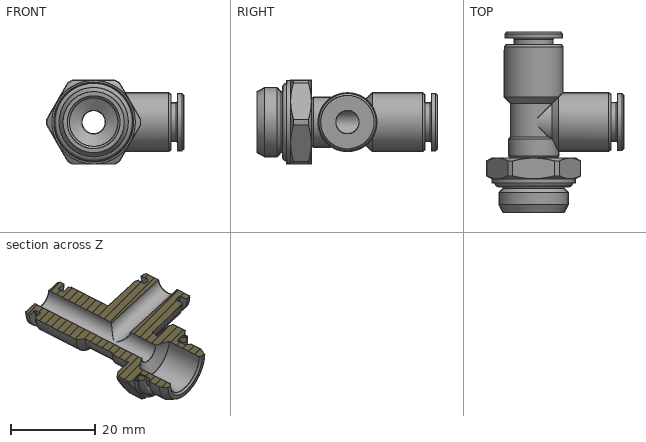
import cadquery as cq
import math


passage_radius = 2.75
bore_radius = 5.75
bore_mouth_radius = 6.28
bore_mouth_depth = bore_mouth_radius - bore_radius
bore_end_y = -12.05
bore_cone_length = 1.7

arm_length = 21.45
waist_radius = 5.55
waist_end = 4.4
socket_radius = 7.0
socket_start = 5.95
socket_end = 18.45
socket_chamfer_radial = 0.45
socket_chamfer_axial = 0.6
sleeve_radius = 4.65
sleeve_root_radius = 4.8
sleeve_root_length = 0.3
rim_radius = 6.85
rim_thickness = 1.5
rim_chamfer = 0.47

collar_radius = 5.98
collar_start_y = -3.6
collar_chamfer = 0.45

hex_sides = 6
hex_across_flats = 20.0
hex_corner_radius = 11.2
hex_top_y = -8.55
hex_bottom_y = -13.55
hex_face_radius = 9.95
hex_chamfer_angle = 30

flange_bottom_y = -14.5
neck_radius = 7.25
neck_end_y = -15.82
thread_radius = 8.25
thread_start_y = -16.73
thread_end_y = -19.7
stud_end_y = -21.55
stud_tip_radius = 7.25

ring_section_radius = 1.0
ring_center_radius = neck_radius + ring_section_radius
ring_bottom_y = -15.45
ring_center_y = ring_bottom_y + ring_section_radius
recess_floor_y = ring_center_y + ring_section_radius
recess_radius = 9.5


def revolve_about_y(points):
    """Turn a closed outline of (radius, y) points about the Y axis."""
    return cq.Workplane("XY").polyline(points).close().revolve(360, (0, 0, 0), (0, 1, 0))


def make_port_arm():
    """Waist, socket and release sleeve of one port, pointing along +Y."""
    rim_start = arm_length - rim_thickness
    return revolve_about_y([
        (0, 0),
        (waist_radius, 0),
        (waist_radius, waist_end),
        (socket_radius, socket_start),
        (socket_radius, socket_end - socket_chamfer_axial),
        (socket_radius - socket_chamfer_radial, socket_end),
        (sleeve_radius, socket_end),
        (sleeve_radius, rim_start - sleeve_root_length),
        (sleeve_root_radius, rim_start),
        (rim_radius, rim_start),
        (rim_radius, arm_length - rim_chamfer),
        (rim_radius - rim_chamfer, arm_length),
        (0, arm_length),
    ])


def make_collar():
    """Lower waist and the chamfered collar standing on the hexagon."""
    chamfered_radius = collar_radius - collar_chamfer
    return revolve_about_y([
        (0, 0),
        (waist_radius, 0),
        (waist_radius, collar_start_y),
        (collar_radius, collar_start_y - collar_chamfer),
        (collar_radius, hex_top_y + collar_chamfer),
        (chamfered_radius, hex_top_y),
        (0, hex_top_y),
    ])


def make_hexagon():
    """Hexagon with corners at +X and -X, rounded and chamfered by a turned outline."""
    height = hex_top_y - hex_bottom_y
    across_corners = hex_across_flats / math.cos(math.pi / hex_sides)
    chamfer_height = (hex_corner_radius - hex_face_radius) * math.tan(math.radians(hex_chamfer_angle))
    prism = (
        cq.Workplane("XZ", origin=(0, hex_top_y, 0))
        .polygon(hex_sides, across_corners)
        .extrude(height)
    )
    turned_limit = revolve_about_y([
        (0, hex_top_y),
        (hex_face_radius, hex_top_y),
        (hex_corner_radius, hex_top_y - chamfer_height),
        (hex_corner_radius, hex_bottom_y + chamfer_height),
        (hex_face_radius, hex_bottom_y),
        (0, hex_bottom_y),
    ])
    return prism.intersect(turned_limit)


def make_stud():
    """Flange, neck and thread envelope below the hexagon."""
    return revolve_about_y([
        (0, hex_bottom_y),
        (hex_face_radius, hex_bottom_y),
        (hex_face_radius, flange_bottom_y),
        (neck_radius, flange_bottom_y),
        (neck_radius, neck_end_y),
        (thread_radius, thread_start_y),
        (thread_radius, thread_end_y),
        (stud_tip_radius, stud_end_y),
        (0, stud_end_y),
    ])


def make_ring_recess():
    """Annular space in the flange that takes the sealing ring."""
    return revolve_about_y([
        (neck_radius, recess_floor_y),
        (recess_radius, recess_floor_y),
        (recess_radius, flange_bottom_y),
        (neck_radius, flange_bottom_y),
    ])


def make_run_passage():
    """Stud bore with a conical end inside the hexagon, and the passage through the run."""
    return revolve_about_y([
        (0, stud_end_y),
        (bore_mouth_radius, stud_end_y),
        (bore_radius, stud_end_y + bore_mouth_depth),
        (bore_radius, bore_end_y),
        (passage_radius, bore_end_y + bore_cone_length),
        (passage_radius, arm_length),
        (0, arm_length),
    ])


def make_branch_passage():
    """Passage from the run out through the branch port."""
    return cq.Workplane("YZ").circle(passage_radius).extrude(arm_length)


def make_fitting_body():
    port_arm = make_port_arm()
    branch_arm = port_arm.rotate((0, 0, 0), (0, 0, 1), -90)
    outside = (
        port_arm
        .union(make_collar())
        .union(branch_arm)
        .union(make_hexagon())
        .union(make_stud())
    )
    return outside.cut(make_ring_recess()).cut(make_run_passage()).cut(make_branch_passage())


def make_sealing_ring():
    return (
        cq.Workplane("XY")
        .center(ring_center_radius, ring_center_y)
        .circle(ring_section_radius)
        .revolve(360, (-ring_center_radius, 0, 0), (-ring_center_radius, 1, 0))
    )


fitting_body = make_fitting_body()
sealing_ring = make_sealing_ring()

result = cq.Compound.makeCompound([fitting_body.val(), sealing_ring.val()])